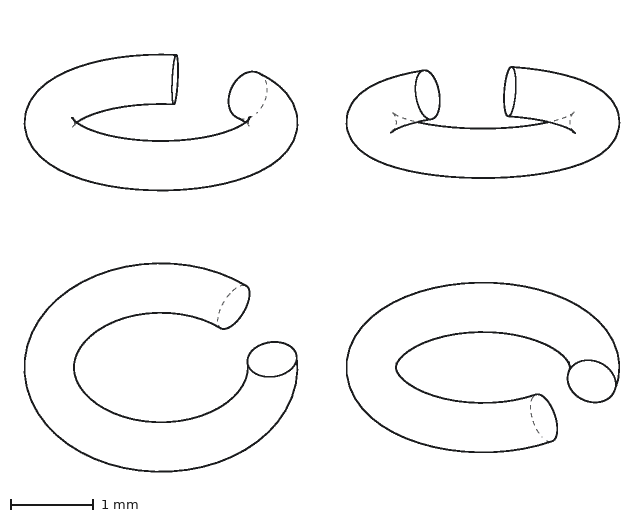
import cadquery as cq

outer_diameter = 3.3
wire_diameter = 0.6

right_end_angle = 13.6
left_end_angle = 30.0

wire_radius = wire_diameter / 2
centreline_radius = outer_diameter / 2 - wire_radius
sweep_angle = 360 - right_end_angle - left_end_angle


def open_ring():
    """Revolve the wire section about Z, starting at +Y and turning counterclockwise."""
    return (
        cq.Workplane("YZ")
        .center(centreline_radius, 0)
        .circle(wire_radius)
        .revolve(sweep_angle, (-centreline_radius, 0), (-centreline_radius, 1))
    )


result = open_ring().rotate((0, 0, 0), (0, 0, 1), left_end_angle)